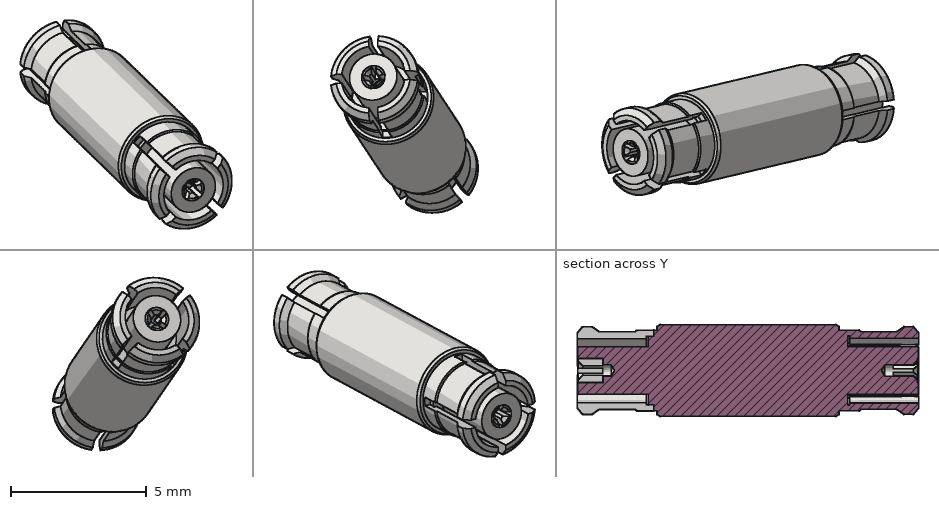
import cadquery as cq
import math

TOTAL_LENGTH = 12.59
HALF_LENGTH = TOTAL_LENGTH / 2
BODY_RADIUS = 1.70
BODY_CHAMFER_LENGTH = 0.12
BODY_CHAMFER_HEIGHT = 0.07

TIP_RADIUS = 1.39
RIM_RADIUS = 1.63
NECK_RADIUS = 1.445
SHOULDER_RADIUS = 1.50
RIM_START = 0.20
RIM_END = 0.55
NECK_START = 0.81
NECK_END = 2.14
SHOULDER_START = NECK_END + SHOULDER_RADIUS - NECK_RADIUS
BODY_START = 2.94

COLLAR_BORE_RADIUS = 1.19
BORE_DEPTH = 2.62
RELIEF_RADIUS = 1.27
RELIEF_WIDTH = 0.07
INSULATOR_RADIUS = 0.887
INSULATOR_SETBACK = 0.02

SLOT_WIDTH = 0.34
SLOT_LENGTH = 2.82
SLOT_COUNT = 4

CONTACT_RADIUS = 0.436
CONTACT_SETBACK = 0.03
SOCKET_RADIUS = 0.20
SOCKET_MOUTH_RADIUS = 0.35
SOCKET_DEPTH = 1.20
SOCKET_POINT_ANGLE = 118
CONTACT_SLOT_WIDTH = 0.18
CONTACT_SLOT_DEPTH = 0.90

END_TWIST = 180 / SLOT_COUNT

X_AXIS = (cq.Vector(0, 0, 0), cq.Vector(1, 0, 0))


def turned(points):
    """Revolve a closed (x, radius) outline about the X axis."""
    return cq.Workplane("XZ").polyline(points).close().revolve(360, (0, 0, 0), (1, 0, 0))


def tube(start, length, outer_radius, inner_radius=None):
    """Cylinder or ring along X, starting at the given x."""
    section = cq.Workplane("YZ", origin=(start, 0, 0)).circle(outer_radius)
    if inner_radius is not None:
        section = section.circle(inner_radius)
    return section.extrude(length)


def cross(start, length, radius, width):
    """Evenly spaced radial bars of the given width, meeting on the axis."""
    bars = cq.Workplane("XY")
    for index in range(SLOT_COUNT):
        bar = cq.Workplane("XY").box(length, width, radius, centered=(False, True, False))
        bar = bar.translate((start, 0, 0))
        bars = bars.union(bar.rotate(*X_AXIS, index * 360 / SLOT_COUNT))
    return bars


def blank():
    """Outer shape of the whole adapter, the same at both ends."""
    depth_radius = [
        (0, 0),
        (0, TIP_RADIUS),
        (RIM_START, RIM_RADIUS),
        (RIM_END, RIM_RADIUS),
        (NECK_START, NECK_RADIUS),
        (NECK_END, NECK_RADIUS),
        (SHOULDER_START, SHOULDER_RADIUS),
        (BODY_START, SHOULDER_RADIUS),
        (BODY_START, BODY_RADIUS - BODY_CHAMFER_HEIGHT),
        (BODY_START + BODY_CHAMFER_LENGTH, BODY_RADIUS),
    ]
    left = [(depth - HALF_LENGTH, radius) for depth, radius in depth_radius]
    right = [(-x, radius) for x, radius in reversed(left)]
    return turned(left + right)


def collar_bore():
    """Annular gap between collar and insulator, with a relief groove at its bottom."""
    mouth = tube(-HALF_LENGTH, INSULATOR_SETBACK, COLLAR_BORE_RADIUS)
    gap = tube(-HALF_LENGTH, BORE_DEPTH, COLLAR_BORE_RADIUS, INSULATOR_RADIUS)
    relief_x = BORE_DEPTH - RELIEF_WIDTH - HALF_LENGTH
    relief = tube(relief_x, RELIEF_WIDTH, RELIEF_RADIUS, INSULATOR_RADIUS)
    return mouth.union(gap).union(relief)


def collar_slots():
    """Radial slots through the collar; past the bore they stop at the core."""
    through_ring = tube(-HALF_LENGTH, BORE_DEPTH, BODY_RADIUS, INSULATOR_RADIUS)
    tail_length = SLOT_LENGTH - BORE_DEPTH
    tail_ring = tube(BORE_DEPTH - HALF_LENGTH, tail_length, BODY_RADIUS, RELIEF_RADIUS)
    return through_ring.union(tail_ring).intersect(cross(-HALF_LENGTH, SLOT_LENGTH, BODY_RADIUS, SLOT_WIDTH))


def contact_socket():
    """Recessed pin socket with a 45 degree mouth and a drill point, split by crossed slots."""
    insulator_x = INSULATOR_SETBACK - HALF_LENGTH
    face_x = insulator_x + CONTACT_SETBACK
    mouth_depth = SOCKET_MOUTH_RADIUS - SOCKET_RADIUS
    point_length = SOCKET_RADIUS / math.tan(math.radians(SOCKET_POINT_ANGLE / 2))
    recess = tube(insulator_x, CONTACT_SETBACK, CONTACT_RADIUS)
    socket = turned([
        (face_x, 0),
        (face_x, SOCKET_MOUTH_RADIUS),
        (face_x + mouth_depth, SOCKET_RADIUS),
        (face_x + SOCKET_DEPTH, SOCKET_RADIUS),
        (face_x + SOCKET_DEPTH + point_length, 0),
    ])
    slots = cross(face_x, CONTACT_SLOT_DEPTH, BODY_RADIUS, CONTACT_SLOT_WIDTH)
    slots = slots.intersect(tube(face_x, CONTACT_SLOT_DEPTH, CONTACT_RADIUS))
    return recess.union(socket).union(slots)


def end_cuts():
    """Everything removed from the left end."""
    return [collar_bore(), collar_slots(), contact_socket()]


result = blank()
for cut in end_cuts():
    result = result.cut(cut)
    result = result.cut(cut.mirror("YZ").rotate(*X_AXIS, END_TWIST))